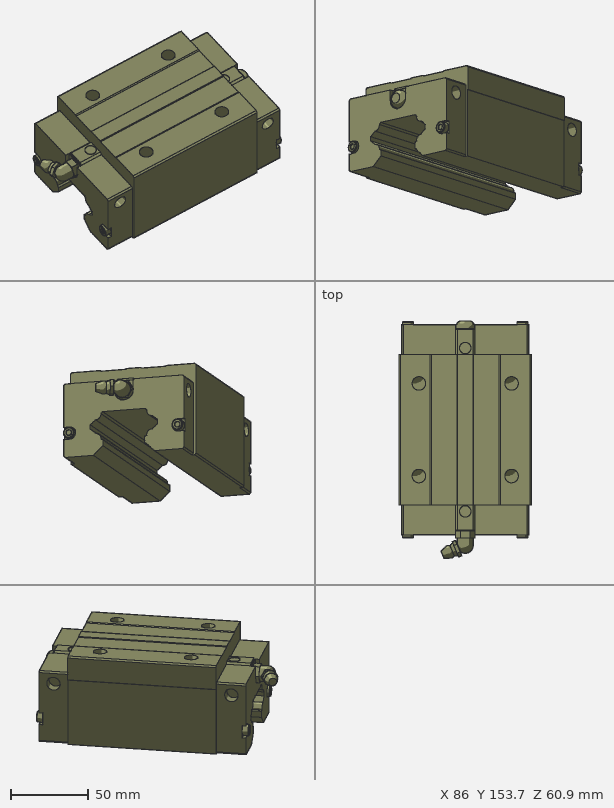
import cadquery as cq
import math


overall_length = 153.7

body_length = 97.6
body_height = 60.9
body_width = 86.0
body_half_width = body_width / 2
side_step_z = 44.6
side_step = 0.5
corner_chamfer = 1.0
relief_depth = 0.5
relief_outer_top = 22.8
relief_outer_floor = 21.8
relief_inner_top = 4.9
relief_inner_floor = 5.4

mount_spacing = 60.0
mount_diameter = 8.8
mount_depth = 16.9
drill_tip_angle = 118.0

cap_width = 82.2
cap_half_width = cap_width / 2
cap_height = 48.9
housing_length = 136.2
plate_thickness = 3.4
plate_face_y = housing_length / 2
cap_end_y = plate_face_y - plate_thickness

pad_height = 1.4
pad_half_width_top = 5.0
pad_half_width_base = 6.5
port_y = 52.9
port_diameter = 7.4
port_depth = 0.3

side_port_y = 58.5
side_port_z = 40.7
side_port_diameter = 8.8
side_port_depth = 7.7

throat_half_width = 14.3
throat_chamfer_top_z = 6.0
throat_top_z = 10.1
mouth_half_width = 20.8
shoulder_half_width = 15.7
shoulder_z = 10.6
groove_half_width = 22.9
groove_center_z = 19.0
groove_half_height = 1.4
race_half_width = 19.2
race_near_offset = 4.5
race_far_offset = 7.5
race_mid_half_width = 16.8
race_mid_offset = 5.4
opening_top_z = 28.6
opening_corner = 1.2

screw_x = 37.0
screw_z = 16.0
screw_head_radius = 3.7
screw_head_chamfer = 0.54
screw_protrusion = 1.8
screw_socket_radius = 1.8
screw_socket_depth = 0.9
screw_pocket_width = 8.1
screw_pocket_radius = screw_pocket_width / 2
screw_pocket_depth = 2.5

fitting_z = 41.8
fitting_pocket_radius = 6.5
fitting_pocket_depth = 2.6
pocket_floor_y = plate_face_y - fitting_pocket_depth
plug_radius = 6.0
plug_flat_radius = 3.4
plug_mid_radius = 5.4
plug_mid_height = 3.4
plug_height = 4.9

hex_base_flats = 11.0
hex_base_length = 4.6
elbow_radius = 5.2
nipple_angle = 22.5
nipple_hex_flats = 9.4
nipple_hex_start = 4.6
nipple_hex_end = 6.9
nipple_root_radius = 2.9
nipple_collar_radius = 4.5
nipple_collar_mid_at = 8.3
nipple_collar_mid_radius = 4.2
nipple_neck_at = 9.2
nipple_neck_radius = 3.5
nipple_bead_mid_at = 10.6
nipple_bead_mid_radius = 4.3
nipple_bead_end = 12.1
nipple_bead_end_radius = 4.0
nipple_tip_at = 16.0
nipple_tip_radius = 2.6

tilt = math.radians(nipple_angle)
nipple_reach_y = nipple_tip_at * math.sin(tilt) + nipple_tip_radius * math.cos(tilt)
elbow_center_y = pocket_floor_y + plug_height - overall_length + nipple_reach_y


def along_y(y):
    """Sketch plane with +X right and +Z up, whose extrusions run toward -Y from y."""
    return cq.Workplane("XZ", origin=(0, y, 0))


def make_body():
    left_lower = -body_half_width + side_step
    floor_z = body_height - relief_depth
    outline = [
        (left_lower, 0),
        (left_lower, side_step_z),
        (-body_half_width, side_step_z),
        (-body_half_width, body_height - corner_chamfer),
        (-body_half_width + corner_chamfer, body_height),
        (-relief_outer_top, body_height),
        (-relief_outer_floor, floor_z),
        (-relief_inner_floor, floor_z),
        (-relief_inner_top, body_height),
        (relief_inner_top, body_height),
        (relief_inner_floor, floor_z),
        (relief_outer_floor, floor_z),
        (relief_outer_top, body_height),
        (body_half_width - corner_chamfer, body_height),
        (body_half_width, body_height - corner_chamfer),
        (body_half_width, corner_chamfer),
        (body_half_width - corner_chamfer, 0),
    ]
    return along_y(body_length / 2).polyline(outline).close().extrude(body_length)


def make_mounting_holes():
    radius = mount_diameter / 2
    tip_depth = radius / math.tan(math.radians(drill_tip_angle / 2))
    bottom_z = body_height - mount_depth
    drill = (
        cq.Workplane("XZ")
        .polyline([(0, bottom_z - tip_depth), (radius, bottom_z), (radius, body_height), (0, body_height)])
        .close()
        .revolve(360, (0, 0, 0), (0, 1, 0))
    )
    return (
        cq.Workplane("XY")
        .rect(mount_spacing, mount_spacing, forConstruction=True)
        .vertices()
        .eachpoint(lambda place: drill.val().moved(place), combine="a")
    )


def make_end_blocks():
    """Cap and seal plate of both ends as one bar running through the body."""
    return (
        along_y(plate_face_y)
        .rect(cap_width, cap_height)
        .extrude(housing_length)
        .edges("|Y")
        .chamfer(corner_chamfer)
        .translate((0, 0, cap_height / 2))
    )


def make_pads():
    return (
        along_y(cap_end_y)
        .polyline([
            (-pad_half_width_base, cap_height),
            (-pad_half_width_top, cap_height + pad_height),
            (pad_half_width_top, cap_height + pad_height),
            (pad_half_width_base, cap_height),
        ])
        .close()
        .extrude(2 * cap_end_y)
    )


def make_rail_opening():
    def half(sign):
        """Opening on the +X side (sign 1) or the -X side (sign -1)."""
        return (
            along_y(plate_face_y)
            .lineTo(sign * mouth_half_width, 0)
            .lineTo(sign * throat_half_width, throat_chamfer_top_z)
            .lineTo(sign * throat_half_width, throat_top_z)
            .lineTo(sign * shoulder_half_width, shoulder_z)
            .lineTo(sign * shoulder_half_width, groove_center_z - race_far_offset)
            .threePointArc(
                (sign * race_mid_half_width, groove_center_z - race_mid_offset),
                (sign * race_half_width, groove_center_z - race_near_offset),
            )
            .lineTo(sign * groove_half_width, groove_center_z - groove_half_height)
            .lineTo(sign * groove_half_width, groove_center_z + groove_half_height)
            .lineTo(sign * race_half_width, groove_center_z + race_near_offset)
            .threePointArc(
                (sign * race_mid_half_width, groove_center_z + race_mid_offset),
                (sign * shoulder_half_width, groove_center_z + race_far_offset),
            )
            .lineTo(sign * shoulder_half_width, opening_top_z - opening_corner)
            .lineTo(sign * (shoulder_half_width - opening_corner), opening_top_z)
            .lineTo(0, opening_top_z)
            .close()
            .extrude(housing_length)
        )

    return half(1).union(half(-1))


def make_cap_ports():
    """Shallow round recesses in the pads and blind holes in the cap sides."""
    pad_top_z = cap_height + pad_height
    pad_ports = (
        cq.Workplane("XY", origin=(0, 0, pad_top_z - port_depth))
        .pushPoints([(0, port_y), (0, -port_y)])
        .circle(port_diameter / 2)
        .extrude(port_depth)
    )
    side_ports = cq.Workplane("XY")
    for side in (-1, 1):
        side_ports = side_ports.union(
            cq.Workplane("YZ", origin=(side * cap_half_width, 0, 0))
            .pushPoints([(side_port_y, side_port_z), (-side_port_y, side_port_z)])
            .circle(side_port_diameter / 2)
            .extrude(-side * side_port_depth)
        )
    return pad_ports.union(side_ports)


def make_fitting_pocket():
    """Round-bottomed slot in the -Y plate, open at the top."""
    slot_height = cap_height - fitting_z
    round_end = (
        along_y(-pocket_floor_y)
        .center(0, fitting_z)
        .circle(fitting_pocket_radius)
        .extrude(fitting_pocket_depth)
    )
    upper = (
        along_y(-pocket_floor_y)
        .center(0, fitting_z + slot_height / 2)
        .rect(2 * fitting_pocket_radius, slot_height)
        .extrude(fitting_pocket_depth)
    )
    return round_end.union(upper)


def make_screw_pocket(side):
    """Screw seat in the -Y plate, open toward the side wall."""
    floor_y = -(plate_face_y - screw_pocket_depth)
    slot_length = cap_half_width - screw_x
    seat = along_y(floor_y).center(side * screw_x, screw_z).circle(screw_pocket_radius)
    slot = (
        along_y(floor_y)
        .center(side * (screw_x + slot_length / 2), screw_z)
        .rect(slot_length, screw_pocket_width)
    )
    return seat.extrude(screw_pocket_depth).union(slot.extrude(screw_pocket_depth))


def make_screw(side):
    floor_y = -(plate_face_y - screw_pocket_depth)
    return (
        along_y(floor_y)
        .center(side * screw_x, screw_z)
        .circle(screw_head_radius)
        .extrude(screw_pocket_depth + screw_protrusion)
        .faces("<Y")
        .chamfer(screw_head_chamfer)
        .faces("<Y")
        .workplane(centerOption="CenterOfMass")
        .circle(screw_socket_radius)
        .cutBlind(-screw_socket_depth)
    )


def make_plug():
    """Domed plug seated in the +Y plate."""
    return (
        cq.Workplane("XY")
        .lineTo(plug_radius, 0)
        .threePointArc((plug_mid_radius, plug_mid_height), (plug_flat_radius, plug_height))
        .lineTo(0, plug_height)
        .close()
        .revolve(360, (0, 0, 0), (0, 1, 0))
        .translate((0, pocket_floor_y, fitting_z))
    )


def hexagon(workplane, flats):
    """Hexagon with two corners on the local X axis."""
    return workplane.polygon(6, flats / math.cos(math.pi / 6))


def make_nipple():
    """Elbow grease fitting whose nipple leaves the elbow sideways."""
    base_plane = along_y(-pocket_floor_y).center(0, fitting_z)
    base = hexagon(base_plane, hex_base_flats).extrude(hex_base_length)
    shank_length = -elbow_center_y - pocket_floor_y
    shank = along_y(-pocket_floor_y).center(0, fitting_z).circle(elbow_radius).extrude(shank_length)
    ball = cq.Workplane("XY").sphere(elbow_radius).translate((0, elbow_center_y, fitting_z))

    collar_plane = cq.Workplane("XZ", origin=(0, -nipple_hex_start, 0))
    collar = hexagon(collar_plane, nipple_hex_flats).extrude(nipple_hex_end - nipple_hex_start)
    stem = (
        cq.Workplane("XY")
        .lineTo(nipple_root_radius, 0)
        .lineTo(nipple_root_radius, -nipple_hex_end)
        .lineTo(nipple_collar_radius, -nipple_hex_end)
        .threePointArc(
            (nipple_collar_mid_radius, -nipple_collar_mid_at),
            (nipple_neck_radius, -nipple_neck_at),
        )
        .threePointArc(
            (nipple_bead_mid_radius, -nipple_bead_mid_at),
            (nipple_bead_end_radius, -nipple_bead_end),
        )
        .lineTo(nipple_tip_radius, -nipple_tip_at)
        .lineTo(0, -nipple_tip_at)
        .close()
        .revolve(360, (0, 0, 0), (0, 1, 0))
    )
    nipple = (
        collar.union(stem)
        .rotate((0, 0, 0), (0, 0, 1), nipple_angle - 90)
        .translate((0, elbow_center_y, fitting_z))
    )
    return base.union(shank).union(ball).union(nipple)


def at_both_ends(shape):
    return shape.union(shape.mirror("XZ"))


carriage = make_body().union(make_end_blocks()).union(make_pads())
carriage = carriage.cut(make_rail_opening()).cut(make_mounting_holes()).cut(make_cap_ports())
carriage = carriage.cut(at_both_ends(make_fitting_pocket()))
for side in (-1, 1):
    carriage = carriage.cut(at_both_ends(make_screw_pocket(side)))
    carriage = carriage.union(at_both_ends(make_screw(side)))

result = carriage.union(make_plug()).union(make_nipple())